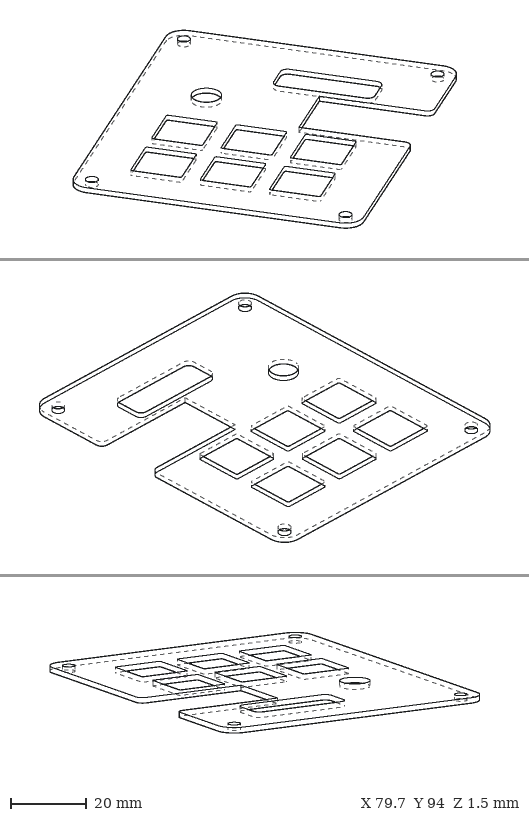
import cadquery as cq

width = 79.7
length = 94.0
thickness = 1.5
corner_radius = 5.0

screw_hole_diameter = 3.4
screw_spacing_x = width - 2 * corner_radius
screw_spacing_y = length - 2 * corner_radius

round_hole_diameter = 8.0
round_hole_center = (-19.9, 12.9)

window_width = 27.8
window_height = 10.0
window_center = (8.7, 28.4)
window_radius = 2.0

notch_left = window_center[0]
notch_bottom = 2.35
notch_height = 18.5
notch_mouth_radius = 2.0

key_columns = 3
key_rows = 2
key_pitch = 19.1
key_size = 14.0
key_radius = 0.5
key_grid_center = (-0.6, -17.6)


def rounded_block(block_width, block_height, radius, center=(0, 0)):
    """Block of plate thickness with rounded vertical edges."""
    block = cq.Workplane("XY").rect(block_width, block_height).extrude(thickness)
    return block.edges("|Z").fillet(radius).translate((center[0], center[1], 0))


def cut_notch(body):
    """Cut the side notch and round the two corners at its mouth."""
    notch_depth = width / 2 - notch_left
    notch = (
        cq.Workplane("XY")
        .box(notch_depth, notch_height, thickness, centered=False)
        .translate((notch_left, notch_bottom, 0))
    )
    notched = body.cut(notch)
    notch_middle = notch_bottom + notch_height / 2
    mouth_edges = cq.selectors.BoxSelector(
        (width / 2 - corner_radius, notch_middle - notch_height, -thickness),
        (width / 2 + corner_radius, notch_middle + notch_height, 2 * thickness),
    )
    return notched.edges("|Z").edges(mouth_edges).fillet(notch_mouth_radius)


plate = cut_notch(rounded_block(width, length, corner_radius))

plate = plate.cut(rounded_block(window_width, window_height, window_radius, window_center))

key_opening = rounded_block(key_size, key_size, key_radius, key_grid_center)
for column in range(key_columns):
    for row in range(key_rows):
        offset_x = (column - (key_columns - 1) / 2) * key_pitch
        offset_y = (row - (key_rows - 1) / 2) * key_pitch
        plate = plate.cut(key_opening.translate((offset_x, offset_y, 0)))

screw_holes = (
    cq.Workplane("XY")
    .rect(screw_spacing_x, screw_spacing_y, forConstruction=True)
    .vertices()
    .circle(screw_hole_diameter / 2)
    .extrude(thickness)
)
round_hole = (
    cq.Workplane("XY")
    .center(*round_hole_center)
    .circle(round_hole_diameter / 2)
    .extrude(thickness)
)

result = plate.cut(screw_holes).cut(round_hole)